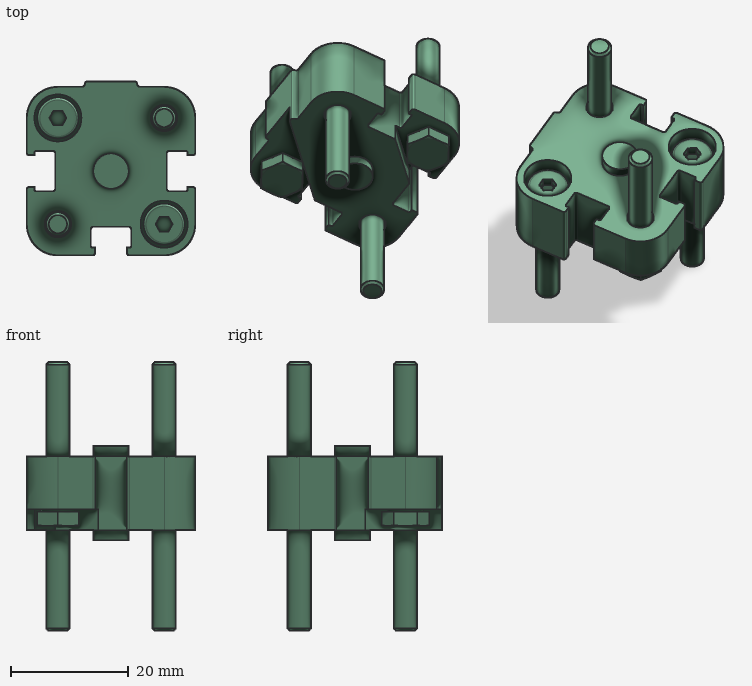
import cadquery as cq
import math

block_half = 14.3
block_height = 12.5
bolt_offset = 9.0
corner_radius = block_half - bolt_offset

tongue_height = 0.9
tongue_base_half = 4.6
tongue_top_half = 4.3
tongue_radius = 0.4

slot_mouth_half = 2.7
slot_inner_half = 3.4
slot_lip = 1.35
slot_floor = 9.45
slot_floor_radius = 0.4
mouth_radius = 0.4
lip_inner_radius = 0.25

boss_diameter = 6.0
boss_projection = 1.75

thread_diameter = 4.0
bolt_length = 25.0
head_width = 7.0
head_height = 2.8
tip_chamfer = 0.45
socket_head_radius = 0.4
socket_width = 2.5
socket_depth = 1.6
hex_collar_diameter = 6.03
hex_collar_height = 0.4
hex_edge_chamfer = 0.15

clearance_diameter = 4.5
counterbore_diameter = 8.0
counterbore_depth = 4.6
pocket_height = 3.5
pocket_wall_distance = 4.5

OVERSIZE = 2 * block_half

hex_bolt_places = [(-bolt_offset, -bolt_offset), (bolt_offset, bolt_offset)]
socket_bolt_places = [(-bolt_offset, bolt_offset), (bolt_offset, -bolt_offset)]
bolt_places = hex_bolt_places + socket_bolt_places


def across_corners(width):
    """Corner-to-corner size of a hexagon with the given width across flats."""
    return 2 * width / math.sqrt(3)


def t_slot():
    """T-slot cutter that opens towards -Y, with rounded corners."""
    lip_inside = block_half - slot_lip
    inner = (
        cq.Workplane("XY")
        .center(0, -(slot_floor + lip_inside) / 2)
        .rect(2 * slot_inner_half, lip_inside - slot_floor)
        .extrude(block_height)
        .edges("|Z and >Y")
        .fillet(slot_floor_radius)
        .edges("|Z and <Y")
        .fillet(lip_inner_radius)
    )
    mouth = (
        cq.Workplane("XY")
        .center(0, -(slot_floor + block_half) / 2)
        .rect(2 * slot_mouth_half, block_half - slot_floor)
        .extrude(block_height)
    )
    return inner.union(mouth)


def mouth_edges(block):
    """Vertical edges where the slot mouths meet the block faces."""
    near = mouth_radius / 4
    reach = slot_mouth_half + near
    edges = block.edges(
        cq.selectors.BoxSelector((-reach, -block_half - near, 0), (reach, -block_half + near, block_height))
    )
    for side in (-block_half, block_half):
        edges = edges.add(
            block.edges(
                cq.selectors.BoxSelector((side - near, -reach, 0), (side + near, reach, block_height))
            )
        )
    return edges


def tongue():
    """Tapered locating tongue along the +Y face."""
    return (
        cq.Workplane("XY")
        .moveTo(-tongue_base_half, block_half)
        .lineTo(-tongue_top_half, block_half + tongue_height)
        .lineTo(tongue_top_half, block_half + tongue_height)
        .lineTo(tongue_base_half, block_half)
        .close()
        .extrude(block_height)
        .edges("|Z and >Y")
        .fillet(tongue_radius)
    )


def tongue_root_edges(block):
    """Vertical edges where the tongue flanks meet the +Y face."""
    reach = tongue_base_half + tongue_radius / 4
    near = tongue_radius / 4
    return block.edges(
        cq.selectors.BoxSelector((-reach, block_half - near, 0), (reach, block_half + near, block_height))
    )


def hex_head_pocket():
    """Pocket for the hexagon head at the +X +Y corner: all beyond a flat 45 degree wall."""
    wall_distance = bolt_offset * math.sqrt(2) - pocket_wall_distance
    return (
        cq.Workplane("XY")
        .center(wall_distance + OVERSIZE / 2, 0)
        .rect(OVERSIZE, 2 * OVERSIZE)
        .extrude(pocket_height)
        .rotate((0, 0, 0), (0, 0, 1), 45)
    )


def make_housing():
    """Slotted block with its tongue, bolt seats and centre boss."""
    block = (
        cq.Workplane("XY")
        .rect(2 * block_half, 2 * block_half)
        .extrude(block_height)
        .edges("|Z")
        .fillet(corner_radius)
    )
    for angle in (0, 90, -90):
        block = block.cut(t_slot().rotate((0, 0, 0), (0, 0, 1), angle))
    block = mouth_edges(block).fillet(mouth_radius)
    block = block.union(tongue())
    block = tongue_root_edges(block).fillet(tongue_radius)
    for angle in (0, 180):
        block = block.cut(hex_head_pocket().rotate((0, 0, 0), (0, 0, 1), angle))
    clearance_holes = (
        cq.Workplane("XY").pushPoints(bolt_places).circle(clearance_diameter / 2).extrude(block_height)
    )
    counterbores = (
        cq.Workplane("XY", origin=(0, 0, block_height))
        .pushPoints(socket_bolt_places)
        .circle(counterbore_diameter / 2)
        .extrude(-counterbore_depth)
    )
    boss = (
        cq.Workplane("XY", origin=(0, 0, -boss_projection))
        .circle(boss_diameter / 2)
        .extrude(block_height + 2 * boss_projection)
    )
    return block.cut(clearance_holes).cut(counterbores).union(boss)


def bolt_shank():
    """Shank rising from the seat at Z = 0 to a chamfered tip."""
    shank = cq.Workplane("XY").circle(thread_diameter / 2).extrude(bolt_length)
    return shank.faces(">Z").chamfer(tip_chamfer)


def make_hex_bolt(x, y):
    """Hexagon bolt, head down, seated against the pocket ceiling."""
    collar = cq.Workplane("XY").circle(hex_collar_diameter / 2).extrude(-hex_collar_height)
    hexagon = (
        cq.Workplane("XY", origin=(0, 0, -head_height))
        .polygon(6, across_corners(head_width))
        .extrude(head_height - hex_collar_height)
        .rotate((0, 0, 0), (0, 0, 1), 90)
    )
    bevel_reach = across_corners(head_width) / 2
    bevel_inset = bevel_reach - head_width / 2
    bevel = (
        cq.Workplane("XY", origin=(0, 0, -head_height))
        .circle(bevel_reach)
        .extrude(head_height)
        .faces("<Z")
        .chamfer(hex_edge_chamfer, bevel_inset)
    )
    head = hexagon.intersect(bevel)
    return bolt_shank().union(collar).union(head).translate((x, y, pocket_height))


def make_socket_bolt(x, y):
    """Low-head socket bolt, head up, seated on the counterbore floor."""
    head = (
        cq.Workplane("XY")
        .circle(head_width / 2)
        .extrude(head_height)
        .faces(">Z")
        .edges()
        .fillet(socket_head_radius)
    )
    socket = (
        cq.Workplane("XY", origin=(0, 0, head_height))
        .polygon(6, across_corners(socket_width))
        .extrude(-socket_depth)
    )
    shank = bolt_shank().rotate((0, 0, 0), (1, 0, 0), 180)
    return shank.union(head).cut(socket).translate((x, y, block_height - counterbore_depth))


housing = make_housing()
hex_bolts = [make_hex_bolt(x, y) for x, y in hex_bolt_places]
socket_bolts = [make_socket_bolt(x, y) for x, y in socket_bolt_places]

result = cq.Compound.makeCompound([housing.val(), *[bolt.val() for bolt in hex_bolts + socket_bolts]])